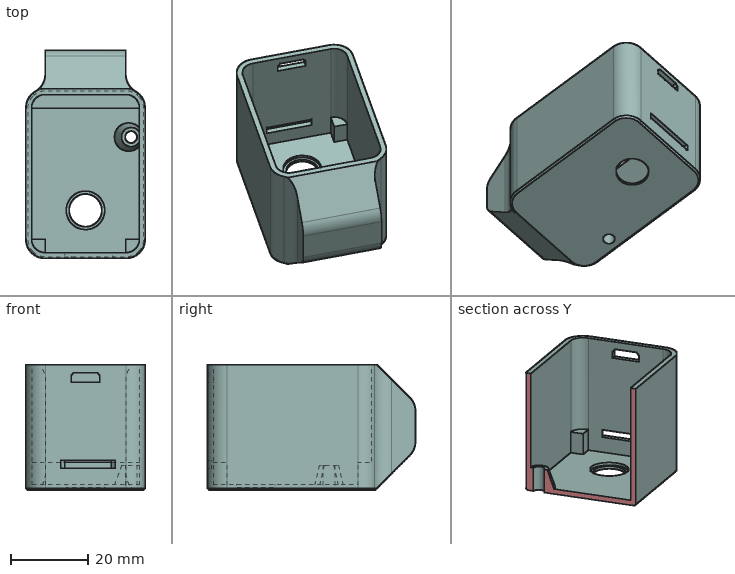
import cadquery as cq
import math

body_width = 31.0
body_height = 32.5
total_length = 54.0
tab_length = 10.0
body_length = total_length - tab_length
corner_radius = 5.0
wall = 1.5
floor_thickness = 1.5
bottom_chamfer = 0.5

inner_width = body_width - 2 * wall
inner_length = body_length - 2 * wall
inner_radius = corner_radius - wall
pad_top = 7.25

tab_width = body_width - 2 * corner_radius
tab_tip_radius = 5.0

opening_y = 12.5
opening_diameter = 8.4
counterbore_diameter = 10.0
counterbore_depth = floor_thickness / 2

boss_y = 31.5
boss_base_x = 11.2
boss_top_x = 11.8
boss_base_radius = 3.65
boss_top_radius = 2.5
boss_top = 6.5
boss_hole_diameter = 3.0

port_width = 7.45
port_bottom = 27.95
port_top = 30.45
port_chamfer_x = 0.65
port_chamfer_z = 0.8

slot_center_x = 0.6
slot_bottom = 5.65
slot_height = 2.0
slot_outer_width = 14.15
slot_inner_width = 12.05
slot_taper_depth = 1.0


def upright_block(width, length, height, radius, front_y, bottom_z):
    """Block with rounded vertical edges, centred on x = 0."""
    return (
        cq.Workplane("XY", origin=(0, front_y + length / 2, bottom_z))
        .rect(width, length)
        .extrude(height)
        .edges("|Z")
        .fillet(radius)
    )


def make_body():
    outer = upright_block(body_width, body_length, body_height, corner_radius, 0, 0)
    return outer.faces("<Z").chamfer(bottom_chamfer)


def make_cavity(bottom_z):
    return upright_block(
        inner_width, inner_length, body_height - bottom_z, inner_radius, wall, bottom_z
    )


def make_tab():
    """Tab with 45 degree slopes, flaring into the body through concave arcs."""
    corner_y = body_length - corner_radius
    half_width = tab_width / 2
    touch_x = half_width + corner_radius * math.cos(math.radians(60))
    touch_y = corner_y + corner_radius * math.sin(math.radians(60))
    flare_y = corner_y + 2 * corner_radius * math.sin(math.radians(60))
    flare_center_x = half_width + corner_radius
    mid_x = flare_center_x - corner_radius * math.cos(math.radians(30))
    mid_y = flare_y - corner_radius * math.sin(math.radians(30))
    plan = (
        cq.Workplane("XY")
        .moveTo(-half_width, corner_y)
        .lineTo(half_width, corner_y)
        .lineTo(touch_x, touch_y)
        .threePointArc((mid_x, mid_y), (half_width, flare_y))
        .lineTo(half_width, total_length)
        .lineTo(-half_width, total_length)
        .lineTo(-half_width, flare_y)
        .threePointArc((-mid_x, mid_y), (-touch_x, touch_y))
        .close()
        .extrude(body_height)
    )
    profile = (
        cq.Workplane("YZ", origin=(-body_width / 2, 0, 0))
        .moveTo(corner_y, bottom_chamfer)
        .lineTo(body_length, bottom_chamfer)
        .lineTo(total_length, bottom_chamfer + tab_length)
        .lineTo(total_length, body_height - tab_length)
        .lineTo(body_length, body_height)
        .lineTo(corner_y, body_height)
        .close()
        .extrude(body_width)
        .edges("|X and >Y")
        .fillet(tab_tip_radius)
    )
    return plan.intersect(profile)


def make_pad(width):
    pad_height = pad_top - floor_thickness
    return cq.Workplane("XY").box(width, inner_radius, pad_height, centered=(True, False, False))


def make_pads():
    """Full-width pad at the back and a square pad in each front corner."""
    back = make_pad(inner_width)
    pads = back.translate((0, wall + inner_length - inner_radius, floor_thickness))
    for side in (-1, 1):
        square = make_pad(inner_radius)
        pad_x = side * (inner_width - inner_radius) / 2
        pads = pads.union(square.translate((pad_x, wall, floor_thickness)))
    return pads


def make_boss():
    return (
        cq.Workplane("XY", origin=(0, 0, floor_thickness))
        .center(boss_base_x, boss_y)
        .circle(boss_base_radius)
        .workplane(offset=boss_top - floor_thickness)
        .center(boss_top_x - boss_base_x, 0)
        .circle(boss_top_radius)
        .loft()
    )


def vertical_hole(x, y, bottom_z, top_z, diameter):
    return cq.Workplane("XY", origin=(x, y, bottom_z)).circle(diameter / 2).extrude(top_z - bottom_z)


def make_floor_holes():
    ledge_z = floor_thickness - counterbore_depth
    opening = vertical_hole(0, opening_y, 0, floor_thickness, opening_diameter)
    counterbore = vertical_hole(0, opening_y, ledge_z, floor_thickness, counterbore_diameter)
    boss_hole = vertical_hole(boss_top_x, boss_y, 0, boss_top, boss_hole_diameter)
    return opening.union(counterbore).union(boss_hole)


def make_port():
    half_width = port_width / 2
    return (
        cq.Workplane("XZ")
        .moveTo(-half_width, port_bottom)
        .lineTo(half_width, port_bottom)
        .lineTo(half_width, port_top - port_chamfer_z)
        .lineTo(half_width - port_chamfer_x, port_top)
        .lineTo(-half_width + port_chamfer_x, port_top)
        .lineTo(-half_width, port_top - port_chamfer_z)
        .close()
        .extrude(-wall)
    )


def make_slot():
    return (
        cq.Workplane("XY", origin=(slot_center_x, 0, slot_bottom))
        .moveTo(-slot_outer_width / 2, 0)
        .lineTo(slot_outer_width / 2, 0)
        .lineTo(slot_inner_width / 2, slot_taper_depth)
        .lineTo(slot_inner_width / 2, wall)
        .lineTo(-slot_inner_width / 2, wall)
        .lineTo(-slot_inner_width / 2, slot_taper_depth)
        .close()
        .extrude(slot_height)
    )


shell = make_body().union(make_tab()).cut(make_cavity(floor_thickness))
fittings = make_pads().union(make_boss()).intersect(make_cavity(floor_thickness))
result = shell.union(fittings).cut(make_floor_holes()).cut(make_port()).cut(make_slot())